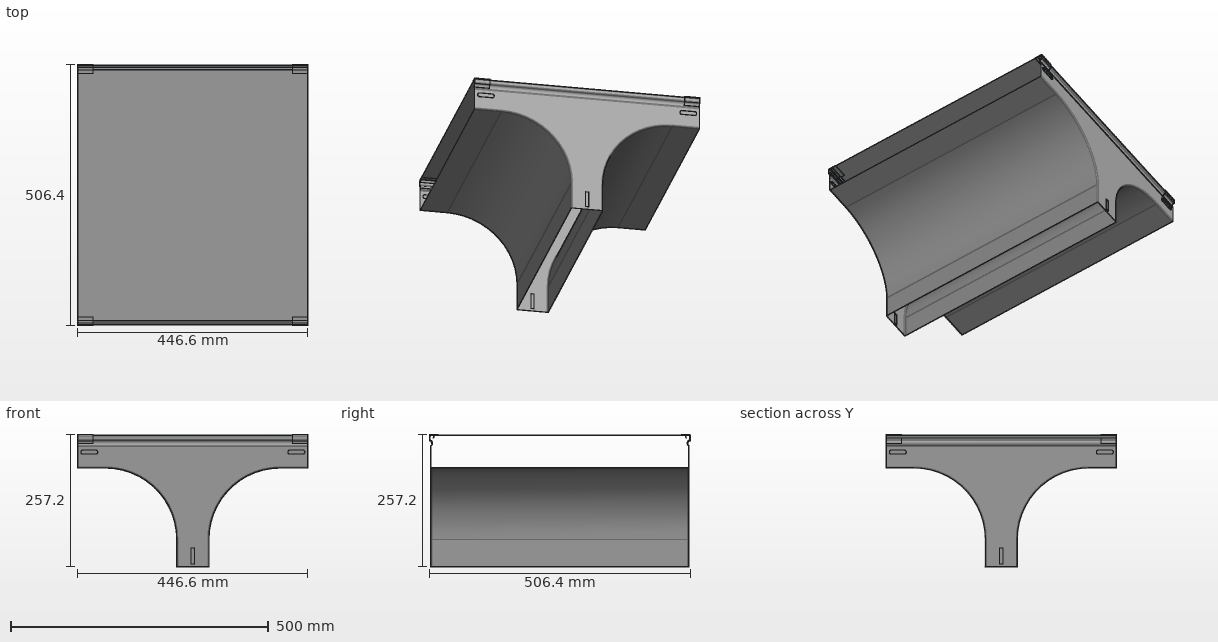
import cadquery as cq
import math


tolerance = 1e-3

length = 446.6
clip_width = 506.4
total_height = 257.19

tray_thickness = 0.7
lid_thickness = 0.7
clip_thickness = 1.0

lid_top = -clip_thickness
tray_top = lid_top - lid_thickness
floor_level = -65.4
stem_bottom = -total_height

tray_width = 501.0
head_half_width = clip_width / 2 - clip_thickness
rim_radius = 1.8
bend_radius = 2.4
stem_width = 62.8
sweep_radius = 138.0

groove_radius = 5.6
groove_offset = 1.0
groove_y = head_half_width + groove_offset
groove_z = -17.0
groove_edge_radius = 2.5

lip_inner_y = 243.2
lip_foot_y = 244.8
lip_foot_z = -7.4

pad_rise = 0.4
branch_pad_length = 33.0
branch_pad_height = 8.0
branch_pad_x = 200.8
branch_pad_z = -34.5
stem_pad_width = 6.6
stem_pad_height = 31.0
stem_pad_rise = 21.0
stem_pad_z = stem_bottom + stem_pad_rise

lid_half_width = 248.0

clip_length = 30.0
clip_hook_drop = 1.0
clip_inner_y = 236.0
clip_foot_z = groove_z - clip_hook_drop


def tee_prism(width, inset):
    """Tee outline extruded across the tray, with its swept faces moved in by inset."""
    half_stem = stem_width / 2 - inset
    radius = sweep_radius + inset
    floor = floor_level + inset
    tangent_x = half_stem + radius
    tangent_z = floor - radius
    mid = radius * math.sqrt(0.5)
    half_length = length / 2
    return (
        cq.Workplane("XZ")
        .moveTo(-half_length, tray_top - inset)
        .lineTo(half_length, tray_top - inset)
        .lineTo(half_length, floor)
        .lineTo(tangent_x, floor)
        .threePointArc((tangent_x - mid, tangent_z + mid), (half_stem, tangent_z))
        .lineTo(half_stem, stem_bottom)
        .lineTo(-half_stem, stem_bottom)
        .lineTo(-half_stem, tangent_z)
        .threePointArc((-tangent_x + mid, tangent_z + mid), (-tangent_x, floor))
        .lineTo(-half_length, floor)
        .close()
        .extrude(width / 2, both=True)
    )


def bent_tee(width, inset, radius):
    """Tee prism with rounded bends between its walls and its swept faces."""
    prism = tee_prism(width, inset)
    half_length = length / 2
    swept_faces = [
        face
        for face in prism.faces("#Y").vals()
        if stem_bottom + tolerance < face.Center().z < floor_level + inset + tolerance
        and abs(face.Center().x) < half_length - tolerance
    ]
    bends = [
        edge
        for face in swept_faces
        for edge in face.Edges()
        if abs(abs(edge.Center().y) - width / 2) < tolerance
    ]
    return prism.newObject(bends).fillet(radius)


def groove_rods(radius):
    """Rods along X centred in the two wall grooves."""
    return (
        cq.Workplane("YZ")
        .pushPoints([(-groove_y, groove_z), (groove_y, groove_z)])
        .circle(radius)
        .extrude(length, both=True)
    )


def head_block(half_width, top, radius):
    """Wider upper part of the channel, with rounded top edges."""
    height = top - groove_z
    return (
        cq.Workplane("XY", origin=(0, 0, groove_z))
        .box(length, 2 * half_width, height, centered=(True, True, False))
        .edges("|X and >Z")
        .fillet(radius)
    )


def is_groove_edge(point, face_y, radius):
    """True where the groove of the given radius breaks out of the face at face_y."""
    rise = math.sqrt(radius**2 - (groove_y - face_y) ** 2)
    on_face = abs(abs(point.y) - face_y) < tolerance
    return on_face and abs(abs(point.z - groove_z) - rise) < tolerance


def channel_form(inset):
    """Solid form of the channel: its outside for inset 0, its inside for inset = thickness."""
    form = bent_tee(tray_width - 2 * inset, inset, bend_radius - inset)
    form = form.union(head_block(head_half_width - inset, tray_top - inset, rim_radius - inset))
    form = form.cut(groove_rods(groove_radius + inset))
    radius = groove_radius + inset
    rim_y = head_half_width - inset
    wall_y = tray_width / 2 - inset
    groove_edges = [
        edge
        for edge in form.edges("|X").vals()
        if is_groove_edge(edge.Center(), rim_y, radius)
        or is_groove_edge(edge.Center(), wall_y, radius)
    ]
    return form.newObject(groove_edges).fillet(groove_edge_radius - inset)


def wall_pads(reach):
    """Slot-shaped prisms across the tray, ending at Y = -reach and Y = +reach."""
    branch_pads = (
        cq.Workplane("XZ")
        .pushPoints([(-branch_pad_x, branch_pad_z), (branch_pad_x, branch_pad_z)])
        .slot2D(branch_pad_length, branch_pad_height)
        .extrude(reach, both=True)
    )
    stem_pad = cq.Workplane("XY", origin=(0, 0, stem_pad_z)).box(
        stem_pad_width, 2 * reach, stem_pad_height
    )
    return branch_pads.union(stem_pad)


def return_lip():
    """Strip that turns down and back outwards from the inner edge of the +Y rim."""
    return (
        cq.Workplane("YZ")
        .moveTo(lip_inner_y, tray_top)
        .lineTo(lip_inner_y + tray_thickness, tray_top)
        .lineTo(lip_foot_y + tray_thickness, lip_foot_z)
        .lineTo(lip_foot_y, lip_foot_z)
        .lineTo(lip_inner_y, tray_top - tray_thickness)
        .close()
        .extrude(length / 2, both=True)
    )


def make_tray(outside):
    """One-piece channel, open along the top and at its three ends."""
    tray = outside.cut(channel_form(tray_thickness))
    top_opening = cq.Workplane("XY", origin=(0, 0, tray_top)).box(
        length, 2 * lip_inner_y, 2 * tray_thickness
    )
    tray = tray.cut(top_opening)
    lip = return_lip()
    tray = tray.union(lip).union(lip.mirror("XZ"))
    wall_y = tray_width / 2
    cavity = wall_pads(wall_y - tray_thickness)
    embossing = wall_pads(wall_y + pad_rise).cut(cavity)
    hollow = wall_pads(wall_y - tray_thickness + pad_rise)
    return tray.union(embossing).cut(hollow)


def make_lid():
    """Flat sheet resting on the two rims of the tray."""
    return cq.Workplane("XY", origin=(0, 0, tray_top)).box(
        length, 2 * lid_half_width, lid_thickness, centered=(True, True, False)
    )


def make_clip(x_side, y_side, outside, lid):
    """Clip over the lid edge and the rim, hooked into the wall groove."""
    outer_y = clip_width / 2
    blank = (
        cq.Workplane("XY")
        .box(clip_length, outer_y - clip_inner_y, -clip_foot_z, centered=(True, False, False))
        .translate((0, clip_inner_y, clip_foot_z))
        .edges("|X and >Y and >Z")
        .fillet(rim_radius + clip_thickness)
    )
    if y_side < 0:
        blank = blank.mirror("XZ")
    centre_x = (length - clip_length) / 2
    blank = blank.translate((x_side * centre_x, 0, 0))
    return blank.cut(groove_rods(groove_radius - clip_thickness)).cut(outside).cut(lid)


channel_outside = channel_form(0)
tray = make_tray(channel_outside)
lid = make_lid()
clips = [
    make_clip(x_side, y_side, channel_outside, lid)
    for x_side in (-1, 1)
    for y_side in (-1, 1)
]

result = cq.Compound.makeCompound([
    tray.solids().val(),
    lid.val(),
    *[clip.solids().val() for clip in clips],
])